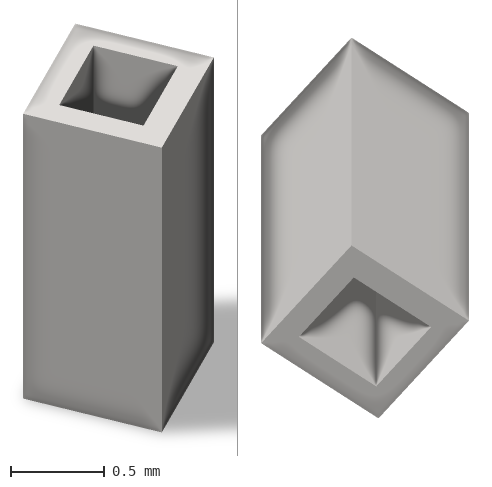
import cadquery as cq

side = 0.79
height = 2.0

bore_x = 0.48
bore_y = 0.52

tube = cq.Workplane("XY").rect(side, side).extrude(height)
bore = cq.Workplane("XY").rect(bore_x, bore_y).extrude(height)

result = tube.cut(bore)